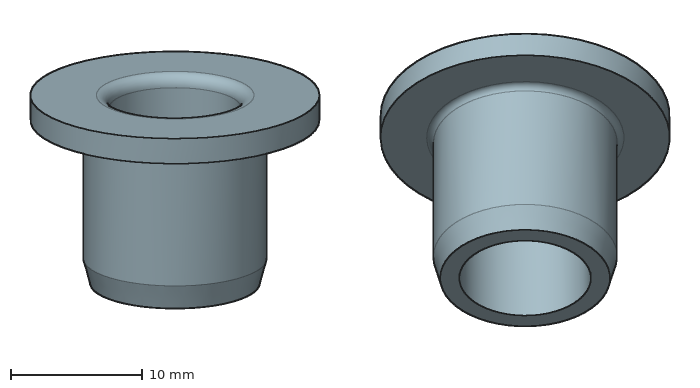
import cadquery as cq
import math

flange_diameter = 22
flange_thickness = 2.0
body_diameter = 14.0
bore_diameter = 10.0
total_height = 15.0
bore_entry_radius = 1.0
neck_fillet_radius = 0.5
lead_in_height = 2.0
lead_in_angle = 15

flange_bottom = total_height - flange_thickness
body_radius = body_diameter / 2
tip_radius = body_radius - lead_in_height * math.tan(math.radians(lead_in_angle))

body = (
    cq.Workplane("XZ")
    .moveTo(0, 0)
    .lineTo(tip_radius, 0)
    .lineTo(body_radius, lead_in_height)
    .lineTo(body_radius, flange_bottom)
    .lineTo(0, flange_bottom)
    .close()
    .revolve(360, (0, 0), (0, 1))
)

flange = (
    cq.Workplane("XY")
    .workplane(offset=flange_bottom)
    .circle(flange_diameter / 2)
    .extrude(flange_thickness)
)
bushing = body.union(flange)

select_reach = body_radius + neck_fillet_radius
corner_band = cq.selectors.BoxSelector(
    (-select_reach, -select_reach, flange_bottom - neck_fillet_radius),
    (select_reach, select_reach, flange_bottom + neck_fillet_radius),
    boundingbox=True,
)
bushing = bushing.edges(corner_band).fillet(neck_fillet_radius)

bushing = bushing.faces(">Z").workplane().hole(bore_diameter)
bore_mouth = cq.selectors.RadiusNthSelector(0)
result = bushing.faces(">Z").edges(bore_mouth).fillet(bore_entry_radius)